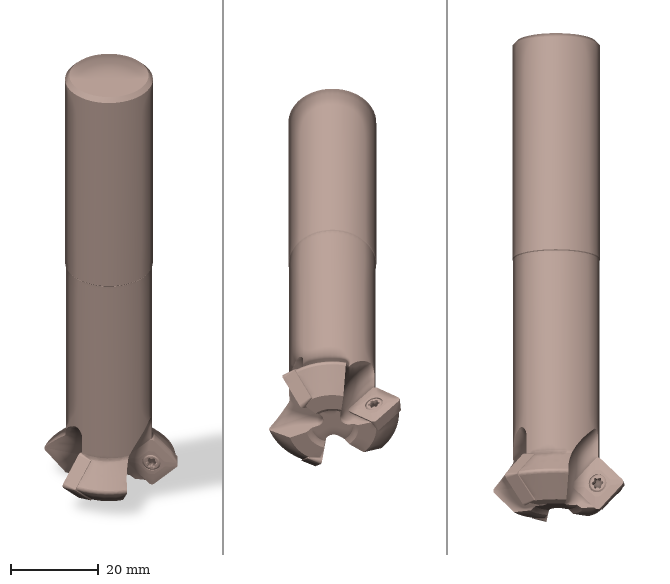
import cadquery as cq
import math

total_length = 110.0
shank_diameter = 20.0
neck_diameter = 19.7
neck_top_z = 59.0
shank_top_chamfer = 1.0
shank_step_chamfer = 0.2

tooth_count = 3
head_bottom_z = 0.7
rim_radius = 15.5
rim_z = 6.2
rim_fillet = 0.8
neck_fillet = 1.0
dish_radius = 5.9
dish_floor_radius = 4.7
dish_depth = 0.9

wall_y = -0.5
floor_axis_offset = 16.1
floor_radius = 14.5
floor_angle = 22.0
flute_corner_radius = 2.0
flute_width = 17.6
runout_z = 6.3

cutting_radius = 16.0
insert_center_z = 6.0
insert_half_diagonal = insert_center_z
insert_corner_radius = 0.9
insert_thickness = 3.3
clearance_angle = 11.0
insert_edge_y = 0.0
land_height = 0.2
land_reach = 3.1
land_corner_width = 1.3

head_diameter = 4.2
head_top_diameter = 3.4
head_bevel_depth = 0.3
socket_diameter = 2.8
socket_depth = 1.6
socket_lobe_diameter = 0.7
socket_lobe_count = 6

neck_radius = neck_diameter / 2
insert_center_x = insert_half_diagonal - cutting_radius
corner_cut = insert_corner_radius * (math.sqrt(2) - 1)
insert_side = (insert_half_diagonal + corner_cut) * math.sqrt(2)
land_y = insert_edge_y + land_height
tooth_angles = [i * 360 / tooth_count for i in range(tooth_count)]


def about_tool_axis(shape, angle):
    return shape.rotate((0, 0, 0), (0, 0, 1), angle)


def insert_plane(y):
    """Plane parallel to an insert face at position y, centred on the insert, with its normal along -Y."""
    return cq.Workplane("XZ", origin=(insert_center_x, y, insert_center_z))


def insert_outline():
    return cq.Sketch().rect(insert_side, insert_side, angle=45).vertices().fillet(insert_corner_radius)


def make_insert_blank():
    """Insert without its screw details: tapered sides and a front rising from the edges to a flat land."""
    sides = insert_plane(insert_edge_y).placeSketch(insert_outline()).extrude(
        insert_thickness, taper=clearance_angle
    )
    half_width = land_corner_width / 2
    land_points = []
    for corner_angle in (0, 90, 180, 270):
        turn = math.radians(corner_angle)
        for across in (-half_width, half_width):
            land_points.append((
                land_reach * math.cos(turn) - across * math.sin(turn),
                land_reach * math.sin(turn) + across * math.cos(turn),
            ))
    land_outline = cq.Sketch().polygon(land_points + land_points[:1])
    front = insert_plane(insert_edge_y).placeSketch(
        insert_outline(), land_outline.moved(cq.Location(cq.Vector(0, 0, -land_height)))
    ).loft(ruled=True)
    return sides.union(front)


def make_screw_bevel():
    """Ring removed around the screw head: a straight wall outside, the bevelled head inside."""
    ring = insert_plane(land_y).circle(head_diameter / 2).extrude(head_bevel_depth)
    head = (
        insert_plane(land_y)
        .circle(head_top_diameter / 2)
        .workplane(offset=head_bevel_depth)
        .circle(head_diameter / 2)
        .loft()
    )
    return ring.cut(head)


def make_socket():
    """Six-lobed drive socket."""
    lobe_reach = (socket_diameter - socket_lobe_diameter) / 2
    core = insert_plane(land_y).circle(lobe_reach).extrude(socket_depth)
    lobes = (
        insert_plane(land_y)
        .polarArray(lobe_reach, 0, 360, socket_lobe_count)
        .circle(socket_lobe_diameter / 2)
        .extrude(socket_depth)
    )
    return core.union(lobes)


def make_insert():
    return make_insert_blank().cut(make_screw_bevel()).cut(make_socket())


def make_shank():
    return (
        cq.Workplane("XY", origin=(0, 0, neck_top_z))
        .circle(shank_diameter / 2)
        .extrude(total_length - neck_top_z)
        .faces(">Z").chamfer(shank_top_chamfer)
        .faces("<Z").chamfer(shank_step_chamfer)
    )


def ring_at(z):
    """Selector for the turned edge at height z."""
    reach = 2 * rim_radius
    margin = 0.1
    return cq.selectors.BoxSelector(
        (-reach, -reach, z - margin), (reach, reach, z + margin), boundingbox=True
    )


def make_neck_and_head():
    """Neck and 45 degree double cone turned in one profile, dished at the bottom."""
    head_top_z = rim_z + rim_radius - neck_radius
    bottom_radius = rim_radius - (rim_z - head_bottom_z)
    turned = (
        cq.Workplane("XZ")
        .moveTo(0, head_bottom_z)
        .lineTo(bottom_radius, head_bottom_z)
        .lineTo(rim_radius, rim_z)
        .lineTo(neck_radius, head_top_z)
        .lineTo(neck_radius, neck_top_z)
        .lineTo(0, neck_top_z)
        .close()
        .revolve(360, (0, 0), (0, 1))
    )
    turned = turned.edges(ring_at(rim_z)).fillet(rim_fillet)
    turned = turned.edges(ring_at(head_top_z)).fillet(neck_fillet)
    dish = (
        cq.Workplane("XY", origin=(0, 0, head_bottom_z))
        .circle(dish_radius)
        .workplane(offset=dish_depth)
        .circle(dish_floor_radius)
        .loft()
    )
    return turned.cut(dish)


def make_flute():
    """Space in front of one insert: straight below the run-out height, turned about a Y line above it."""
    corner_x = floor_radius - floor_axis_offset - wall_y * math.tan(math.radians(floor_angle))
    floor_shift = flute_width * math.tan(math.radians(floor_angle))
    section = (
        cq.Sketch()
        .polygon([
            (-floor_axis_offset, wall_y),
            (corner_x, wall_y),
            (corner_x - floor_shift, wall_y + flute_width),
            (-floor_axis_offset, wall_y + flute_width),
            (-floor_axis_offset, wall_y),
        ])
        .vertices(">X")
        .fillet(flute_corner_radius)
    )
    base = cq.Workplane("XY", origin=(0, 0, runout_z))
    runout = base.placeSketch(section).revolve(360, (-floor_axis_offset, 0), (-floor_axis_offset, 1))
    straight = base.placeSketch(section).extrude(-runout_z)
    return runout.union(straight)


def make_holder():
    holder = make_shank().union(make_neck_and_head())
    flute = make_flute()
    pocket = make_insert_blank()
    for angle in tooth_angles:
        for removed in (flute, pocket):
            holder = holder.cut(about_tool_axis(removed, angle))
    return holder


holder = make_holder()
insert = make_insert()
inserts = [about_tool_axis(insert, angle) for angle in tooth_angles]

result = cq.Compound.makeCompound([holder.solids().val(), *[item.solids().val() for item in inserts]])